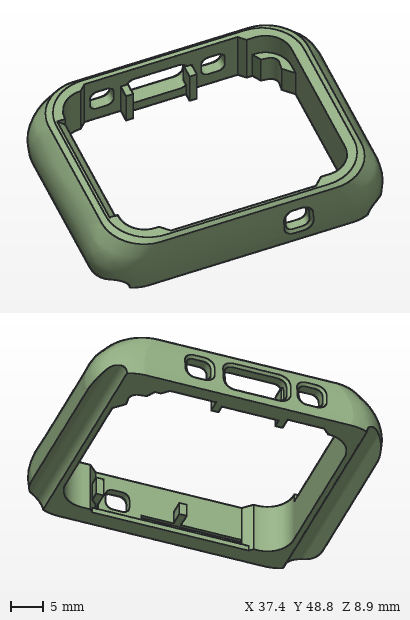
import cadquery as cq
import math

HEIGHT = 8.9
RIM_Z = 8.4
WIDEST_Z = 2.2
MAX_HALF_X = 18.7
MAX_HALF_Y = 24.4
BULGE_RADIUS_X = 22.3
BULGE_RADIUS_Y = 8.5
CORNER_RADIUS = 7.1
TOP_HALF_X = 17.15
TOP_HALF_Y = 20.75
SECTION_HEIGHTS = (0, WIDEST_Z, 4.4, 6.6, RIM_Z)

OPENING_HALF_X = 15.25
OPENING_HALF_Y = 18.95
OPENING_RADIUS = 4.35
LEFT_WALL_X = -16.3
LEFT_WALL_Y = (-13.45, 12.15)
RIGHT_WALL_X = 16.65
RIGHT_WALL_Y = (-12.55, 11.7)

LEDGE_Z = 2.5
POST_DEPTH = 1.2
POST_REACH = 14.15
TALL_POST_TOP = 5.7
SHORT_POST_TOP = 4.7
LEFT_POSTS_Y = (3.85, -6.8)
TALL_RIGHT_POST_Y = 11.95
SHORT_RIGHT_POST_Y = -1.85
LEFT_LIP_X = -15.6
RIGHT_LIP_X = 15.8
RIGHT_LIP_TOP = 1.05
RIGHT_LIP_CHAMFER = 0.15
GROOVE_DEPTH = 0.55
GROOVE_END_Y = 4.1
SHORT_GROOVE_START_Y = 11.25
EMBED = 0.5

PORT_CHAMFER = 0.5
PORT_RIM_BAND = 1.2
SMALL_PORT_SIZE = (3.95, 3.85)
SMALL_PORT_RADIUS = 1.2
SMALL_PORT_Z = 4.25
MIDDLE_SMALL_PORT_Y = 8.05
END_SMALL_PORT_Y = -10.55
WIDE_PORT_SIZE = (10.25, 4.7)
WIDE_PORT_RADIUS = 1.45
WIDE_PORT_Y = -1.4
WIDE_PORT_Z = 4.15

CHANNEL_RADIUS = 1.65
CHANNEL_Y = 21.55
CHANNEL_TIP_Y = 24.15

SLOPE_X = (-10.85, 10.55)
SLOPE_WIDTH = 1.35
SLOPE_DROP = 1.35

GUSSET_TOP = 5.0
GUSSET_SIDE_END_Y = 14.2
GUSSET_BACK_END_X = -9.15
GUSSET_SIDE_TIP = (-13.8, 15.05)
HOLLOW_START = (-13.65, 16.1)
HOLLOW_MIDDLE = (-13.25, 17.05)
HOLLOW_END = (-12.4, 17.45)
GUSSET_BACK_TIP = (-10.85, 17.28)


def block(x_range, y_range, z_range):
    """Box between the given pairs of coordinates."""
    (x0, x1), (y0, y1), (z0, z1) = x_range, y_range, z_range
    return cq.Workplane("XY").box(x1 - x0, y1 - y0, z1 - z0, centered=False).translate((x0, y0, z0))


def bulged(max_half, radius, z):
    """Half width at height z of a side bulged along an arc."""
    return max_half - radius + math.sqrt(radius**2 - (z - WIDEST_Z) ** 2)


def loft_sections(sections, ruled):
    """Loft through rounded rectangles given as (half_x, half_y, z)."""
    wires = []
    for half_x, half_y, z in sections:
        plate = cq.Workplane("XY").box(2 * half_x, 2 * half_y, HEIGHT, centered=(True, True, False))
        plate = plate.edges("|Z").fillet(CORNER_RADIUS).translate((0, 0, z))
        wires.append(plate.faces("<Z").wires().val())
    return cq.Workplane(cq.Solid.makeLoft(wires, ruled))


def make_shell():
    sides = [
        (bulged(MAX_HALF_X, BULGE_RADIUS_X, z), bulged(MAX_HALF_Y, BULGE_RADIUS_Y, z), z)
        for z in SECTION_HEIGHTS
    ]
    rim = [sides[-1], (TOP_HALF_X, TOP_HALF_Y, HEIGHT)]
    return loft_sections(sides, False).union(loft_sections(rim, True))


def side_bay(wall_x, y_range):
    """Widening of the opening out to wall_x, with 45 degree ends."""
    low, high = y_range
    inner_x = math.copysign(OPENING_HALF_X, wall_x)
    spread = abs(wall_x - inner_x)
    points = [(wall_x, low), (wall_x, high), (inner_x, high + spread), (inner_x, low - spread)]
    return cq.Workplane("XY").polyline(points).close().extrude(HEIGHT)


def make_opening():
    core = block((-OPENING_HALF_X, OPENING_HALF_X), (-OPENING_HALF_Y, OPENING_HALF_Y), (0, HEIGHT))
    core = core.edges("|Z").fillet(OPENING_RADIUS)
    return core.union(side_bay(LEFT_WALL_X, LEFT_WALL_Y)).union(side_bay(RIGHT_WALL_X, RIGHT_WALL_Y))


def post(wall_x, centre_y, bottom, top):
    """Post standing inward from a side wall."""
    side = math.copysign(1, wall_x)
    x_range = sorted((side * POST_REACH, wall_x + side * EMBED))
    y_range = (centre_y - POST_DEPTH / 2, centre_y + POST_DEPTH / 2)
    return block(x_range, y_range, (bottom, top))


def make_left_lip():
    """Low lip joining the two left posts."""
    y_range = (LEFT_POSTS_Y[1] - POST_DEPTH / 2, LEFT_POSTS_Y[0] + POST_DEPTH / 2)
    return block((LEFT_WALL_X - EMBED, LEFT_LIP_X), y_range, (0, LEDGE_Z))


def make_right_lip():
    """Low lip along the whole right bay, running into its sloping ends."""
    low, high = RIGHT_WALL_Y
    end_run = RIGHT_WALL_X - RIGHT_LIP_X
    lip = block((RIGHT_LIP_X, RIGHT_WALL_X + EMBED), (low - end_run, high + end_run), (0, RIGHT_LIP_TOP))
    return lip.edges("<X and >Z").chamfer(RIGHT_LIP_CHAMFER)


def make_grooves():
    """Undercuts in the right wall just above its lip."""
    low, high = RIGHT_WALL_Y
    x_range = (RIGHT_WALL_X, RIGHT_WALL_X + GROOVE_DEPTH)
    z_range = (RIGHT_LIP_TOP, LEDGE_Z)
    long_groove = block(x_range, (low, GROOVE_END_Y), z_range)
    return long_groove.union(block(x_range, (SHORT_GROOVE_START_Y, high), z_range))


def port(size, radius, y, z, side):
    """Rounded opening through the wall on the given side (-1 left, 1 right)."""
    x_range = sorted((side * POST_REACH, side * (MAX_HALF_X + EMBED)))
    width, height = size
    body = block(x_range, (y - width / 2, y + width / 2), (z - height / 2, z + height / 2))
    return body.edges("|X").fillet(radius)


def cut_port(part, size, radius, y, z, side):
    """Cut a port and chamfer its outer rim."""
    part = part.cut(port(size, radius, y, z, side))
    margin = PORT_CHAMFER / 2
    half_y = size[0] / 2 + margin
    half_z = size[1] / 2 + margin
    outside = (side * (MAX_HALF_X + EMBED), y + half_y, z + half_z)
    inside = (side * (MAX_HALF_X - PORT_RIM_BAND), y - half_y, z - half_z)
    rim = part.edges(cq.selectors.BoxSelector(inside, outside))
    return rim.chamfer(PORT_CHAMFER)


def make_channel(side):
    """Channel along X under one end: a round roof with a straight outer flank."""
    tip_distance = CHANNEL_TIP_Y - CHANNEL_Y
    tangent_angle = math.acos(CHANNEL_RADIUS / tip_distance)
    tangent = (CHANNEL_Y + CHANNEL_RADIUS * math.cos(tangent_angle), CHANNEL_RADIUS * math.sin(tangent_angle))
    profile = (
        cq.Workplane("YZ", origin=(-MAX_HALF_X, 0, 0))
        .moveTo(CHANNEL_Y - CHANNEL_RADIUS, 0)
        .threePointArc((CHANNEL_Y, CHANNEL_RADIUS), tangent)
        .lineTo(CHANNEL_TIP_Y, 0)
        .close()
    )
    channel = profile.extrude(2 * MAX_HALF_X)
    return channel if side > 0 else channel.mirror("XZ")


def make_slope():
    """Wedge removed from the top inner edge of the front wall."""
    wall_y = -OPENING_HALF_Y
    points = [(wall_y - SLOPE_WIDTH, HEIGHT), (wall_y, HEIGHT), (wall_y, HEIGHT - SLOPE_DROP)]
    profile = cq.Workplane("YZ", origin=(SLOPE_X[0], 0, 0)).polyline(points).close()
    return profile.extrude(SLOPE_X[1] - SLOPE_X[0])


def make_gusset():
    """Web with a hollowed inner edge filling the back left corner of the opening."""
    outline = (
        cq.Workplane("XY")
        .moveTo(-OPENING_HALF_X, GUSSET_SIDE_END_Y)
        .lineTo(*GUSSET_SIDE_TIP)
        .lineTo(*HOLLOW_START)
        .threePointArc(HOLLOW_MIDDLE, HOLLOW_END)
        .lineTo(*GUSSET_BACK_TIP)
        .lineTo(GUSSET_BACK_END_X, OPENING_HALF_Y)
        .lineTo(OPENING_RADIUS - OPENING_HALF_X, OPENING_HALF_Y)
        .radiusArc((-OPENING_HALF_X, OPENING_HALF_Y - OPENING_RADIUS), -OPENING_RADIUS)
        .close()
    )
    return outline.extrude(GUSSET_TOP)


result = make_shell().cut(make_opening())

result = result.union(make_left_lip()).union(make_right_lip()).union(make_gusset())

result = result.cut(make_grooves()).cut(make_slope())
for end in (-1, 1):
    result = result.cut(make_channel(end))
    result = cut_port(result, SMALL_PORT_SIZE, SMALL_PORT_RADIUS, MIDDLE_SMALL_PORT_Y, SMALL_PORT_Z, end)
result = cut_port(result, SMALL_PORT_SIZE, SMALL_PORT_RADIUS, END_SMALL_PORT_Y, SMALL_PORT_Z, -1)
result = cut_port(result, WIDE_PORT_SIZE, WIDE_PORT_RADIUS, WIDE_PORT_Y, WIDE_PORT_Z, -1)

for post_y in LEFT_POSTS_Y:
    result = result.union(post(LEFT_WALL_X, post_y, 0, TALL_POST_TOP))
result = result.union(post(RIGHT_WALL_X, TALL_RIGHT_POST_Y, LEDGE_Z, TALL_POST_TOP))
result = result.union(post(RIGHT_WALL_X, SHORT_RIGHT_POST_Y, LEDGE_Z, SHORT_POST_TOP))